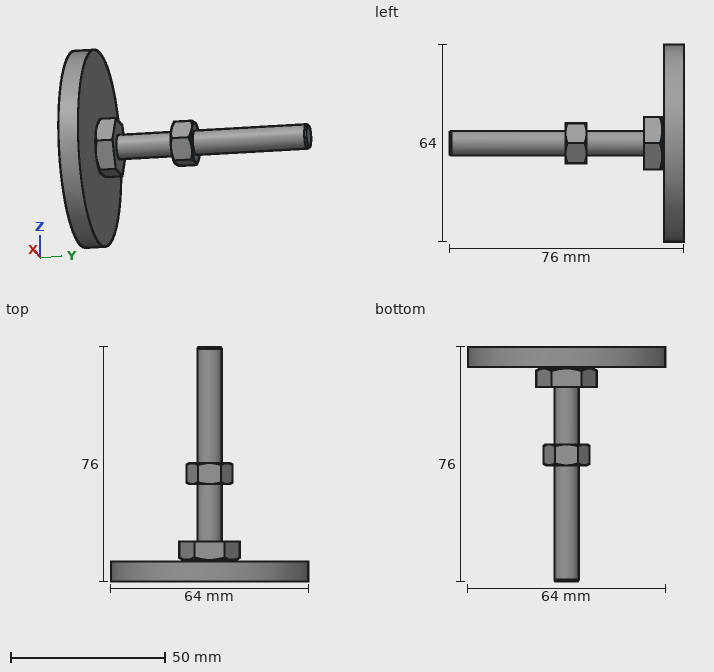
import cadquery as cq
import math

total_length = 76.0

pad_diameter = 64.0
pad_thickness = 6.5

neck_diameter = 3.6
neck_length = 0.45

head_across_flats = 17.0
head_height = 6.0

rod_diameter = 8.0
tip_chamfer_length = 0.7
tip_chamfer_depth = 0.45

nut_across_flats = 13.0
nut_height = 6.85
nut_start = 31.55

corner_chamfer_angle = 30.0

head_start = pad_thickness + neck_length
head_end = head_start + head_height


def disc(diameter, start, length):
    """Cylinder on the Y axis, from start toward +Y."""
    plane = cq.Workplane("XZ", origin=(0, start, 0))
    return plane.circle(diameter / 2).extrude(-length)


def hexagon(across_flats, start, height, chamfer_far_end):
    """Hexagonal prism with corners on +X and -X, cut conically at its near end.

    The cone meets the end face on the circle that touches all six flats.
    """
    across_corners = across_flats / math.cos(math.radians(30))
    inner_radius = across_flats / 2
    corner_radius = across_corners / 2
    cone_length = (corner_radius - inner_radius) * math.tan(math.radians(corner_chamfer_angle))
    end = start + height

    plane = cq.Workplane("XZ", origin=(0, start, 0))
    prism = plane.polygon(6, across_corners).extrude(-height)

    envelope = cq.Workplane("XY").moveTo(0, start).lineTo(inner_radius, start)
    envelope = envelope.lineTo(corner_radius, start + cone_length)
    if chamfer_far_end:
        envelope = envelope.lineTo(corner_radius, end - cone_length).lineTo(inner_radius, end)
    else:
        envelope = envelope.lineTo(corner_radius, end)
    envelope = envelope.lineTo(0, end).close().revolve(360, (0, 0, 0), (0, 1, 0))
    return prism.intersect(envelope)


def make_pad():
    return disc(pad_diameter, 0, pad_thickness)


def make_stud():
    """Smooth rod with a chamfered tip, a hexagonal head and a short neck that rests on the pad."""
    neck = disc(neck_diameter, pad_thickness, neck_length)
    head = hexagon(head_across_flats, head_start, head_height, chamfer_far_end=False)
    rod = disc(rod_diameter, head_end, total_length - head_end)
    rod = rod.faces(">Y").chamfer(tip_chamfer_length, tip_chamfer_depth)
    return neck.union(head).union(rod)


def make_nut():
    """Hexagonal lock nut, bored to fit the rod."""
    blank = hexagon(nut_across_flats, nut_start, nut_height, chamfer_far_end=True)
    return blank.cut(disc(rod_diameter, nut_start, nut_height))


pad = make_pad()
stud = make_stud()
nut = make_nut()

result = cq.Compound.makeCompound([pad.val(), stud.val(), nut.val()])